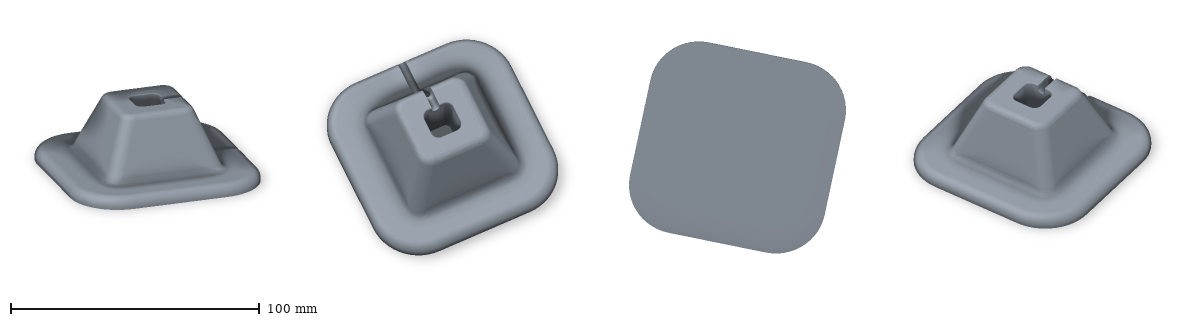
import cadquery as cq
import math

base_size = 80.0
base_thickness = 5.0
base_corner_radius = 20.0
base_edge_radius = 4.0

overall_height = 30.0
tower_bottom_size = 50.0
tower_top_size = 30.0
tower_corner_radius = 5.0
tower_edge_radius = 3.0

pocket_size = 12.8
pocket_floor_size = 10.0
pocket_corner_radius = 3.0
pocket_floor_corner_radius = 2.0
pocket_depth = 20.0
pocket_rim_radius = 0.5

groove_radius = 1.7
groove_axis_depth = 1.7

selection_margin = 0.1


def rounded_square(size, corner_radius, height):
    outline = cq.Sketch().rect(size, size).vertices().fillet(corner_radius)
    return outline.moved(cq.Location(cq.Vector(0, 0, height)))


def rounded_frustum(bottom, top):
    return cq.Workplane("XY").placeSketch(bottom, top).loft()


def make_base():
    outline = rounded_square(base_size, base_corner_radius, 0)
    plate = cq.Workplane("XY").placeSketch(outline).extrude(base_thickness)
    return plate.faces(">Z").edges().fillet(base_edge_radius)


def make_tower():
    return rounded_frustum(
        rounded_square(tower_bottom_size, tower_corner_radius, base_thickness),
        rounded_square(tower_top_size, tower_corner_radius, overall_height),
    )


def make_pocket():
    return rounded_frustum(
        rounded_square(pocket_floor_size, pocket_floor_corner_radius, overall_height - pocket_depth),
        rounded_square(pocket_size, pocket_corner_radius, overall_height),
    )


def make_groove():
    """Round-bottomed channel following the surface profile, open towards the outside."""
    tower_height = overall_height - base_thickness
    slope_angle = math.atan2(tower_height, (tower_bottom_size - tower_top_size) / 2)
    bend_shift = groove_axis_depth * math.tan(slope_angle / 2)
    axis_points = [
        (0, overall_height - groove_axis_depth),
        (tower_top_size / 2 - bend_shift, overall_height - groove_axis_depth),
        (tower_bottom_size / 2 - bend_shift, base_thickness - groove_axis_depth),
        (base_size / 2, base_thickness - groove_axis_depth),
    ]
    axis = cq.Workplane("YZ").polyline(axis_points)
    start = (0, *axis_points[0])
    round_bottom = cq.Workplane("XZ", origin=start).circle(groove_radius).sweep(axis, transition="right")

    open_side = axis_points + [(base_size / 2, overall_height), (0, overall_height)]
    open_slot = cq.Workplane("YZ").polyline(open_side).close().extrude(groove_radius, both=True)
    return round_bottom.union(open_slot)


body = make_base().union(make_tower())
foot_reach = tower_bottom_size / 2 + selection_margin
foot_edges = cq.selectors.BoxSelector(
    (-foot_reach, -foot_reach, base_thickness - selection_margin),
    (foot_reach, foot_reach, base_thickness + selection_margin),
    boundingbox=True,
)
body = body.edges(foot_edges).fillet(tower_edge_radius)
body = body.faces(">Z").edges().fillet(tower_edge_radius)

body = body.cut(make_pocket())
body = body.faces(">Z").wires(cq.selectors.LengthNthSelector(0)).fillet(pocket_rim_radius)
result = body.cut(make_groove())